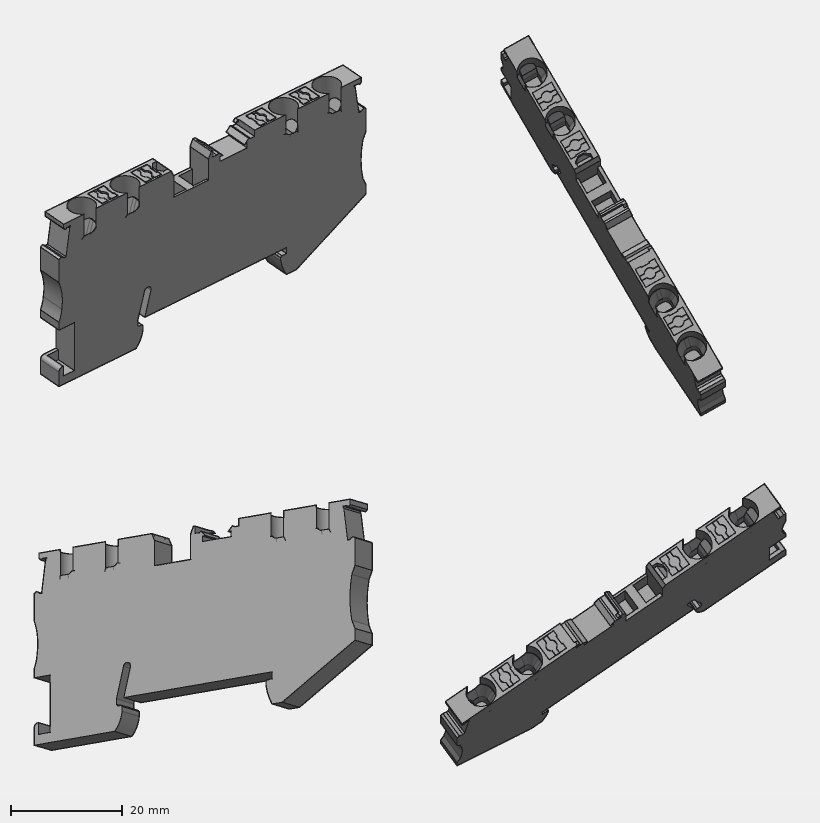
import cadquery as cq
import math

THICKNESS = 5.1
LENGTH = 72.2
HEIGHT = 35.2
HALF_LENGTH = LENGTH / 2
SIDE_X = THICKNESS / 2
CLEARANCE = 0.7
CUT_WIDTH = THICKNESS + 2 * CLEARANCE

FEATURE_X = 0.11
FEATURE_WIDTH = 4.0
CLAMP_PITCH = 10.2
INNER_BUTTON_Y = 13.5
BUTTON_TO_WIRE_HOLE = 5.1

RAIL_ROOF_Z = 5.9
RAIL_HOOK_Z = 4.6
SLIT_WIDTH = 1.6
SLIT_FOOT_Y = -16.75
SLIT_END_Y = -15.2
SLIT_END_Z = 11.5
SLIT_LEAN = math.atan2(SLIT_END_Y - SLIT_FOOT_Y, SLIT_END_Z - RAIL_ROOF_Z)

SLOT_WALL_Y = -0.95
SLOT_FAR_Y = -9.0
SLOT_FLOOR_Z = 29.25


def prism(outline, x_start=-SIDE_X - CLEARANCE, x_end=SIDE_X + CLEARANCE):
    """Extrude a closed (Y, Z) outline along X."""
    return cq.Workplane("YZ", origin=(x_start, 0, 0)).polyline(outline).close().extrude(x_end - x_start)


def start_outline():
    """Workplane with (Y, Z) coordinates, for curved outlines cut through the whole thickness."""
    return cq.Workplane("YZ", origin=(-SIDE_X - CLEARANCE, 0, 0))


def block(x_range, y_range, z_range):
    """Axis-aligned box given by its limits."""
    sizes = [high - low for low, high in (x_range, y_range, z_range)]
    corner = (x_range[0], y_range[0], z_range[0])
    return cq.Workplane("XY").box(*sizes, centered=False).translate(corner)


def mirror_y(shape):
    return shape.mirror("XZ")


def sloped_corner():
    """Long slope under the +Y end."""
    slope_top_z = 9.1
    slope_end_y = 19.7
    return prism([
        (HALF_LENGTH, slope_top_z),
        (slope_end_y, 0),
        (slope_end_y, -CLEARANCE),
        (HALF_LENGTH + CLEARANCE, -CLEARANCE),
        (HALF_LENGTH + CLEARANCE, slope_top_z),
    ])


def rail_recess():
    """Opening for the rail, with a fixed hook at +Y and a springy hook at -Y."""
    hook_edge = 0.3
    fixed_wall_y = 17.4
    fixed_hook_y = 16.0
    fixed_nose_z = 3.7
    fixed_flank = (16.7, 1.45)
    fixed_toe_y = 17.4
    spring_wall_y = SLIT_FOOT_Y - SLIT_WIDTH / 2 / math.cos(SLIT_LEAN)
    spring_hook_y = -16.3
    spring_nose_z = 3.5
    spring_flank = (-16.9, 1.5)
    spring_toe_y = -18.0
    return (
        start_outline()
        .moveTo(fixed_wall_y, RAIL_ROOF_Z)
        .lineTo(fixed_wall_y, RAIL_HOOK_Z)
        .lineTo(fixed_hook_y + hook_edge, RAIL_HOOK_Z)
        .lineTo(fixed_hook_y, RAIL_HOOK_Z - hook_edge)
        .lineTo(fixed_hook_y, fixed_nose_z)
        .threePointArc(fixed_flank, (fixed_toe_y, 0))
        .lineTo(fixed_toe_y, -CLEARANCE)
        .lineTo(spring_toe_y, -CLEARANCE)
        .lineTo(spring_toe_y, 0)
        .threePointArc(spring_flank, (spring_hook_y, spring_nose_z))
        .lineTo(spring_hook_y, RAIL_HOOK_Z - hook_edge)
        .lineTo(spring_hook_y - hook_edge, RAIL_HOOK_Z)
        .lineTo(spring_wall_y + hook_edge, RAIL_HOOK_Z)
        .lineTo(spring_wall_y, RAIL_HOOK_Z + hook_edge)
        .lineTo(spring_wall_y, RAIL_ROOF_Z)
        .close()
        .extrude(CUT_WIDTH)
    )


def spring_slit():
    """Leaning slit that lets the -Y hook flex; its upper end is round."""
    half_width = SLIT_WIDTH / 2
    length_to_roof = math.hypot(SLIT_END_Y - SLIT_FOOT_Y, SLIT_END_Z - RAIL_ROOF_Z)
    length = length_to_roof + half_width * math.tan(SLIT_LEAN)
    return (
        start_outline()
        .moveTo(-half_width, 0)
        .lineTo(-half_width, -length)
        .lineTo(half_width, -length)
        .lineTo(half_width, 0)
        .threePointArc((0, half_width), (-half_width, 0))
        .close()
        .extrude(CUT_WIDTH)
        .rotate((0, 0, 0), (1, 0, 0), -math.degrees(SLIT_LEAN))
        .translate((0, SLIT_END_Y, SLIT_END_Z))
    )


def end_notch():
    """Square notch low in the -Y end; behind its rounded lip the floor drops into a pocket open at +X."""
    notch_y = -32.5
    notch_bottom_z = 4.05
    notch_top_z = 12.4
    lip_radius = 0.9
    lip_thickness = 1.0
    pocket_side_wall = 0.7
    pocket_depth = 2.2
    end_y = -HALF_LENGTH
    notch = (
        start_outline()
        .moveTo(notch_y, notch_bottom_z)
        .lineTo(notch_y, notch_top_z)
        .lineTo(end_y - CLEARANCE, notch_top_z)
        .lineTo(end_y - CLEARANCE, notch_bottom_z - lip_radius)
        .lineTo(end_y, notch_bottom_z - lip_radius)
        .radiusArc((end_y + lip_radius, notch_bottom_z), lip_radius)
        .close()
        .extrude(CUT_WIDTH)
    )
    pocket = block(
        (-SIDE_X + pocket_side_wall, SIDE_X + CLEARANCE),
        (end_y + lip_thickness, notch_y),
        (notch_bottom_z - pocket_depth, notch_bottom_z),
    )
    return notch.union(pocket)


def finger_grips():
    """Shallow hollows in both ends."""
    start_z = 22.9
    positive_low_z = 11.25
    ramp_height = 1.6
    ramp_depth = 0.7
    positive_depth = 1.15
    ramp_y = HALF_LENGTH - ramp_depth
    positive = (
        start_outline()
        .moveTo(HALF_LENGTH, start_z)
        .lineTo(ramp_y, start_z - ramp_height)
        .threePointArc(
            (HALF_LENGTH - positive_depth, (start_z + positive_low_z) / 2),
            (ramp_y, positive_low_z + ramp_height),
        )
        .lineTo(HALF_LENGTH, positive_low_z)
        .close()
        .extrude(CUT_WIDTH)
    )
    negative_low_z = 14.15
    crease_y = -35.45
    crease_z = 16.75
    deepest = (-35.3, 18.8)
    lower_middle = (-35.7, 15.4)
    negative = (
        start_outline()
        .moveTo(-HALF_LENGTH, start_z)
        .threePointArc(deepest, (crease_y, crease_z))
        .threePointArc(lower_middle, (-HALF_LENGTH, negative_low_z))
        .close()
        .extrude(CUT_WIDTH)
    )
    return positive.union(negative)


def end_latch():
    """Recess above the +Y end wall, under a small hooked lip."""
    return prism([
        (HALF_LENGTH + CLEARANCE, HEIGHT + CLEARANCE),
        (35.0, HEIGHT + CLEARANCE),
        (35.0, 34.2),
        (34.6, 33.85),
        (34.2, 34.15),
        (33.35, 34.15),
        (33.6, 33.7),
        (34.45, 27.8),
        (34.9, 27.8),
        (35.6, 28.2),
        (HALF_LENGTH, 27.95),
        (HALF_LENGTH + CLEARANCE, 27.95),
    ])


def marker_groove():
    """Undercut groove for a marker strip; its two halves mirror each other."""
    groove_y = 5.0
    ledge_z = 33.85
    half_outline = [
        (4.9, HEIGHT + CLEARANCE),
        (4.9, ledge_z),
        (4.0, ledge_z),
        (3.55, 34.1),
        (2.5, 33.15),
        (3.2, 33.15),
        (3.2, 32.1),
    ]
    far_half = [(groove_y + offset, z) for offset, z in half_outline]
    near_half = [(groove_y - offset, z) for offset, z in reversed(half_outline)]
    groove = prism(far_half + near_half)

    tooth_width = 0.7
    tooth_outline = [(4.9, HEIGHT), (4.7, HEIGHT), (4.2, 34.7), (4.9, 34.7)]
    for direction in (1, -1):
        outline = [(groove_y + direction * offset, z) for offset, z in tooth_outline]
        groove = groove.cut(prism(outline, -SIDE_X, -SIDE_X + tooth_width))
    return groove


def jumper_slot():
    """Open slot with flared rims and two deep pits in its floor."""
    rim_flare = 0.65
    flare_z = 33.85
    slot = prism([
        (SLOT_WALL_Y + rim_flare, HEIGHT),
        (SLOT_WALL_Y, flare_z),
        (SLOT_WALL_Y, SLOT_FLOOR_Z),
        (SLOT_FAR_Y, SLOT_FLOOR_Z),
        (SLOT_FAR_Y, flare_z),
        (SLOT_FAR_Y - rim_flare, HEIGHT),
    ])
    pit_length = 3.2
    pit_depth = 5.8
    pit_x = (FEATURE_X - FEATURE_WIDTH / 2, FEATURE_X + FEATURE_WIDTH / 2)
    pit_z = (SLOT_FLOOR_Z - pit_depth, SLOT_FLOOR_Z)
    for pit_start in (SLOT_FAR_Y, SLOT_WALL_Y - pit_length):
        slot = slot.union(block(pit_x, (pit_start, pit_start + pit_length), pit_z))
    return slot


def test_pocket():
    """Tapered pocket beside the jumper slot; its narrow end has a sloping floor."""
    start_y = -9.75
    taper_y = -10.75
    end_y = -11.5
    wide = 3.1
    narrow = 1.1
    depth = 2.2
    slope_height = 0.7
    floor_z = HEIGHT - depth
    plan = (
        cq.Workplane("XY", origin=(FEATURE_X, 0, floor_z))
        .polyline([
            (-wide / 2, start_y),
            (-wide / 2, taper_y),
            (-narrow / 2, end_y),
            (narrow / 2, end_y),
            (wide / 2, taper_y),
            (wide / 2, start_y),
        ])
        .close()
        .extrude(depth + CLEARANCE)
    )
    slope = prism([(taper_y, floor_z), (end_y, floor_z + slope_height), (end_y, floor_z)])
    return plan.cut(slope)


def wire_hole(centre_y):
    """Round bore that breaks out of the +X face, then funnels into a square-backed channel."""
    centre_x = 0.3
    bore_radius = 2.7
    bore_depth = 4.3
    funnel_depth = 3.6
    channel_depth = 3.6
    channel_x = 0.1
    channel_width = 2.95
    front_y = -1.4
    back_y = 1.0
    corner_radius = 1.1
    taper = 18.0
    spread = funnel_depth * math.tan(math.radians(taper))
    back_step = 0.4
    funnel_top_z = HEIGHT - bore_depth
    funnel_floor_z = funnel_top_z - funnel_depth
    channel_floor_z = funnel_floor_z - channel_depth

    def channel_plan(z, plan_back_y):
        middle_y = (front_y + plan_back_y) / 2
        return (
            cq.Workplane("XY", origin=(channel_x, middle_y, z))
            .sketch()
            .rect(channel_width, plan_back_y - front_y)
            .vertices("<Y")
            .fillet(corner_radius)
            .finalize()
        )

    bore_around_funnel = (
        cq.Workplane("XY", origin=(centre_x, 0, funnel_floor_z)).circle(bore_radius).extrude(funnel_depth)
    )
    funnel = channel_plan(funnel_floor_z, bore_radius).extrude(funnel_depth, taper=-taper)
    funnel = funnel.intersect(bore_around_funnel)
    back_ramp = prism(
        [
            (back_y, funnel_floor_z),
            (back_y + back_step, funnel_floor_z + funnel_depth / 2),
            (back_y + spread + back_step, funnel_top_z),
            (bore_radius + CLEARANCE, funnel_top_z),
            (bore_radius + CLEARANCE, funnel_floor_z),
        ],
        channel_x - channel_width / 2,
        channel_x + channel_width / 2,
    )
    upper_bore = (
        cq.Workplane("XY", origin=(centre_x, 0, funnel_top_z))
        .circle(bore_radius)
        .extrude(bore_depth + CLEARANCE)
    )
    channel = channel_plan(channel_floor_z, back_y).extrude(channel_depth)
    hole = upper_bore.union(funnel.cut(back_ramp)).union(channel)
    return hole.translate((0, centre_y, 0))


def release_button(centre_y):
    """Slightly sunk square button with a screwdriver slot and a round centre."""
    button_length = 3.75
    sink = 0.11
    key_width = 1.7
    key_height = 0.2
    slot_width = 0.9
    slot_depth = 0.35
    dimple_radius = 1.0
    left_x = -FEATURE_WIDTH / 2
    button_z = HEIGHT - sink
    recess_z = (button_z, HEIGHT + CLEARANCE)
    button = block((left_x, -left_x), (-button_length / 2, button_length / 2), recess_z)
    key = block(
        (-key_width / 2, key_width / 2),
        (-button_length / 2, -button_length / 2 + key_height),
        recess_z,
    )
    slot = block(
        (left_x, -left_x),
        (-slot_width / 2, slot_width / 2),
        (button_z - slot_depth, button_z),
    )
    dimple = (
        cq.Workplane("XY", origin=(0, 0, button_z - slot_depth)).circle(dimple_radius).extrude(slot_depth)
    )
    return button.cut(key).union(slot).union(dimple).translate((FEATURE_X, centre_y, 0))


body = block((-SIDE_X, SIDE_X), (-HALF_LENGTH, HALF_LENGTH), (0, HEIGHT))

for cutter in (
    sloped_corner(),
    rail_recess(),
    spring_slit(),
    end_notch(),
    finger_grips(),
    end_latch(),
    mirror_y(end_latch()),
    marker_groove(),
    jumper_slot(),
    test_pocket(),
):
    body = body.cut(cutter)

for button_y in (INNER_BUTTON_Y, INNER_BUTTON_Y + CLAMP_PITCH):
    clamp = release_button(button_y).union(wire_hole(button_y + BUTTON_TO_WIRE_HOLE))
    body = body.cut(clamp).cut(mirror_y(clamp))

result = body